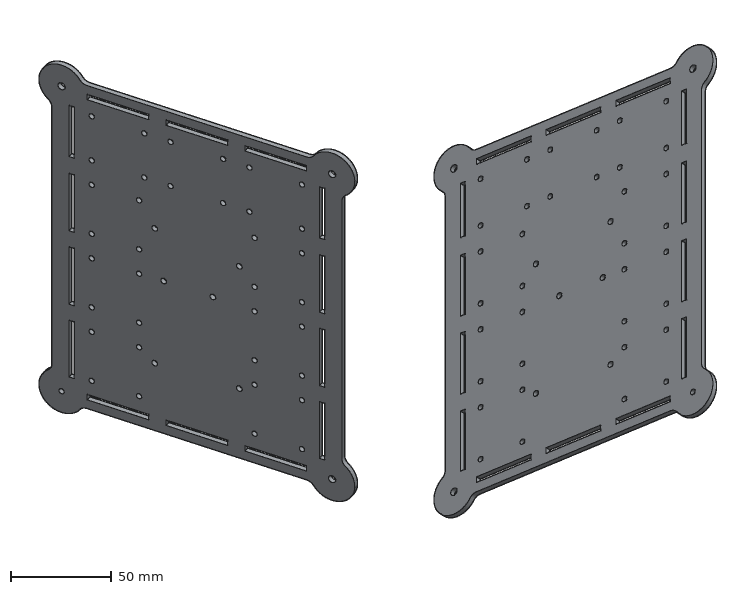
import cadquery as cq
import math

overall_width = 180.3
overall_height = 212.5
thickness = 3.0
panel_width = 165.6
panel_height = 197.7
lobe_radius = 13.0
fillet_radius = 4.9
lobe_x = overall_width / 2 - lobe_radius
lobe_z = overall_height / 2 - lobe_radius

corner_hole_diameter = 4.0
small_corner_hole_diameter = 3.0

module_length = 30.0
module_depth = 27.0
module_gap = module_length / 2
module_pitch = module_length + module_gap
module_hole_diameter = 3.0
field_width = 3 * module_length + 2 * module_gap
field_height = module_depth + 3 * module_pitch
row_z = (field_height - module_depth) / 2
column_x = (field_width - module_depth) / 2
row_centers_x = [step * module_pitch for step in (-1, 0, 1)]
column_centers_z = [
    (module_length - field_height) / 2 + step * module_pitch for step in range(3)
]

slot_length = 35.0
end_slot_length = 31.3
edge_slot_width = 3.2
edge_slot_z = 91.8
side_slot_width = 3.0
side_slot_x = 71.5
side_slot_limit = row_z + end_slot_length / 2

board_hole_diameter = 3.2
board_x = -24.0
board_z = -57.6
board_hole_offsets = [
    (0, 0),
    (0, 82.5),
    (48.3, 1.3),
    (48.3, 76.1),
    (5.0, 52.0),
    (33.2, 52.0),
]


def front_plane():
    """Plane of the -Y face, with local x along X and local y along Z."""
    return cq.Workplane("XZ", origin=(0, -thickness / 2, 0))


def prism(sketch):
    """Extrude an outline from the -Y face through the plate."""
    return sketch.extrude(-thickness)


def rectangle(width, height, center):
    return prism(front_plane().center(*center).rect(width, height))


def holes(points, diameter):
    return prism(front_plane().pushPoints(points).circle(diameter / 2))


def corners(half_width, half_height, center=(0, 0)):
    """Four corner points of a rectangle."""
    return [
        (center[0] + sx * half_width, center[1] + sz * half_height)
        for sx in (-1, 1)
        for sz in (-1, 1)
    ]


def make_plate():
    """Panel with a round lobe at each corner, blended into the straight edges."""
    plate = rectangle(panel_width, panel_height, (0, 0))
    plate = plate.union(holes(corners(lobe_x, lobe_z), 2 * lobe_radius))
    rise = panel_height / 2 - lobe_z
    reach = panel_width / 2 - lobe_x
    joint_x = lobe_x - math.sqrt(lobe_radius**2 - rise**2)
    joint_z = lobe_z - math.sqrt(lobe_radius**2 - reach**2)
    joints = corners(joint_x, panel_height / 2) + corners(panel_width / 2, joint_z)
    for x, z in joints:
        plate = plate.edges(cq.selectors.NearestToPointSelector((x, 0, z))).fillet(fillet_radius)
    return plate


def cut_corner_holes(plate):
    small_hole = (-lobe_x, -lobe_z)
    large_holes = [point for point in corners(lobe_x, lobe_z) if point != small_hole]
    plate = plate.cut(holes(large_holes, corner_hole_diameter))
    return plate.cut(holes([small_hole], small_corner_hole_diameter))


def cut_module_holes(plate):
    points = []
    for x in row_centers_x:
        points += corners(module_length / 2, module_depth / 2, (x, row_z))
    for z in column_centers_z:
        for x in (-column_x, column_x):
            points += corners(module_depth / 2, module_length / 2, (x, z))
    return plate.cut(holes(points, module_hole_diameter))


def cut_board_holes(plate):
    points = [(board_x + dx, board_z + dz) for dx, dz in board_hole_offsets]
    return plate.cut(holes(points, board_hole_diameter))


def cut_edge_slots(plate):
    """Rows of slots along the top and bottom edges."""
    for x in row_centers_x:
        for z in (-edge_slot_z, edge_slot_z):
            plate = plate.cut(rectangle(slot_length, edge_slot_width, (x, z)))
    return plate


def cut_side_slots(plate):
    """Columns of slots along both sides; the lowest ends as far from centre as the topmost."""
    spans = [(z - slot_length / 2, z + slot_length / 2) for z in column_centers_z]
    spans.append((row_z - end_slot_length / 2, side_slot_limit))
    for start, end in spans:
        bottom = max(start, -side_slot_limit)
        for x in (-side_slot_x, side_slot_x):
            slot = rectangle(side_slot_width, end - bottom, (x, (bottom + end) / 2))
            plate = plate.cut(slot)
    return plate


result = make_plate()
result = cut_corner_holes(result)
result = cut_module_holes(result)
result = cut_board_holes(result)
result = cut_edge_slots(result)
result = cut_side_slots(result)